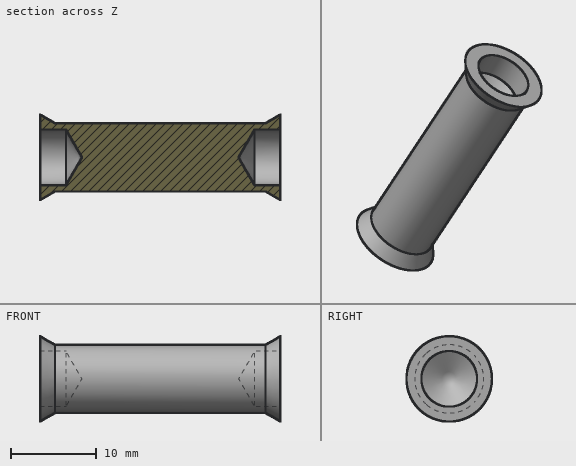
import cadquery as cq
import math

length = 28.0
flare_diameter = 10.0
body_diameter = 8.0
bore_diameter = 6.5
bore_depth = 3.0
flare_angle = 30.0
drill_point_angle = 120.0

flare_radius = flare_diameter / 2
body_radius = body_diameter / 2
bore_radius = bore_diameter / 2
flare_length = (flare_radius - body_radius) / math.tan(math.radians(flare_angle))
point_depth = bore_radius / math.tan(math.radians(drill_point_angle / 2))
half_length = length / 2


def make_half():
    """Revolve the -X half about the X axis: flared end, body and blind bore."""
    bore_end = -half_length + bore_depth
    profile = (
        cq.Workplane("XY")
        .moveTo(0, 0)
        .lineTo(0, body_radius)
        .lineTo(-half_length + flare_length, body_radius)
        .lineTo(-half_length, flare_radius)
        .lineTo(-half_length, bore_radius)
        .lineTo(bore_end, bore_radius)
        .lineTo(bore_end + point_depth, 0)
        .close()
    )
    return profile.revolve(360, (0, 0, 0), (1, 0, 0))


half = make_half()
result = half.union(half.mirror("YZ")).clean()